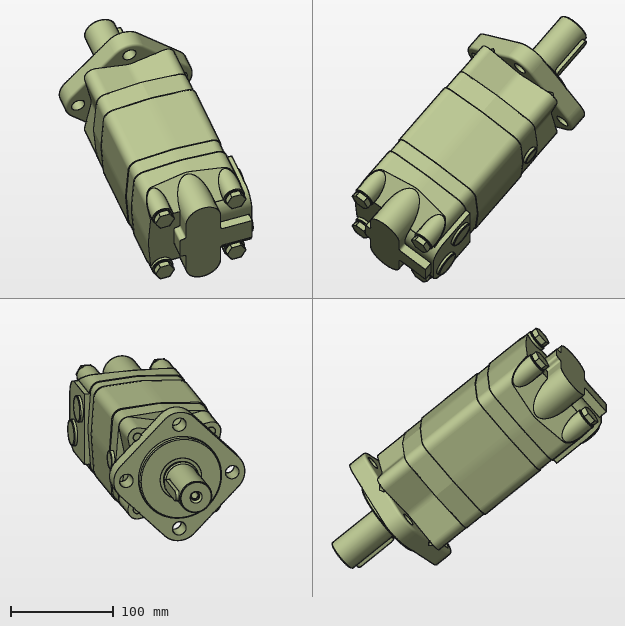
import cadquery as cq
import math


shaft_step_x = 55.5
collar_x = 57.0
pilot_front_x = 59.0
flange_front_x = 65.0
flange_back_x = 84.2
neck_end_x = 119.0
housing_end_x = 142.0
ring_end_x = 211.8
plate_end_x = 227.7
cover_end_x = 276.5
boss_end_x = 279.3
pad_end_x = 284.5
motor_end_x = 293.5

bolt_offset = 37.0
bolt_diameter = 8.5
bolt_tip_x = 85.0
bolt_head_end_x = 286.0
bolt_head_flats = 17.0
washer_face_diameter = 18.0
washer_face_height = 1.2
tapped_bottom_x = 81.3
drill_tip_angle = 118.0
bolt_centres = [(y * bolt_offset, z * bolt_offset) for y in (-1, 1) for z in (-1, 1)]

neck_corner_radius = 9.7
neck_slope = -11.7
neck_valley_radius = 15.0
housing_corner_radius = 10.0
housing_slope = 4.7
body_corner_radius = 11.1
body_slope = 4.0
body_ridge_radius = 69.0
plate_inset = 1.0

flange_span = 131.5
flange_tip_radius = 20.8
flange_edge_radius = 2.5
mounting_hole_diameter = 13.5
mounting_hole_offset = 53.0
pilot_diameter = 82.2
pilot_chamfer = 1.2
seal_recess_diameter = 41.7
seal_recess_depth = 0.3

drain_diameter = 18.0
drain_x = 131.7
drain_top_y = 53.0
drain_chamfer = 0.5

shaft_diameter = 32.0
collar_diameter = 35.0
shaft_chamfer = 1.0
centre_mouth_diameter = 12.0
centre_entry_diameter = 8.5
centre_drill_diameter = 6.7
centre_mouth_angle = 60.0
centre_entry_depth = 6.0
centre_drill_depth = 25.0
key_start_x = 4.5
key_length = 45.2
key_width = 10.0
key_height = 8.0
key_top_y = 19.0

slope_start_x = 244.5
slope_start_z = 50.8
slope_end_z = 33.5
boss_diameter = 21.0
valve_diameter = 35.8
valve_offset_z = 31.7
rib_half_height = 12.0
rib_low_y = -24.4
rib_high_y = 50.5
rib_fillet = 2.5
pad_root_y = 14.7
pad_top_y = 53.5
pad_half_height = 36.0
pad_corner_radius = 18.0
port_diameter = 26.0
port_top_y = 57.0
port_chamfer = 1.0
port_centres = [(244.0, 15.8), (266.7, -15.8)]


def cross_plane(x):
    """Workplane across the motor axis: local x is Y, local y is Z, normal is +X."""
    return cq.Workplane("YZ", origin=(x, 0, 0))


def side_plane(y):
    """Workplane facing +Y: local x is X, local y is -Z."""
    return cq.Workplane("XZ", origin=(0, y, 0)).transformed(rotate=(180, 0, 0))


def rod(diameter, start_x, end_x, centres=((0, 0),)):
    return cross_plane(start_x).pushPoints(centres).circle(diameter / 2).extrude(end_x - start_x)


def drill_tip_length(diameter):
    return diameter / 2 / math.tan(math.radians(drill_tip_angle / 2))


def square_section(start_x, end_x, corner_radius, slope_degrees, middle_radius):
    """Rounded square whose sides rise (positive slope) or sink towards their middle."""
    slope = math.radians(slope_degrees)
    corner_along = bolt_offset + corner_radius * math.sin(slope)
    corner_out = bolt_offset + corner_radius * math.cos(slope)
    middle_along = middle_radius * math.sin(abs(slope))
    middle_out = corner_out + (corner_along - middle_along) * math.tan(slope)
    crest_out = middle_out + math.copysign(middle_radius * (1 - math.cos(slope)), slope)
    corner_mid = bolt_offset + corner_radius * math.sqrt(0.5)

    def on_side(side, along, out):
        """Point on one of the four sides, each a quarter turn after the one before."""
        turn = math.radians(90 * side)
        return (
            out * math.cos(turn) - along * math.sin(turn),
            out * math.sin(turn) + along * math.cos(turn),
        )

    outline = cross_plane(start_x).moveTo(*on_side(0, -corner_along, corner_out))
    for side in range(4):
        outline = outline.lineTo(*on_side(side, -middle_along, middle_out))
        if middle_radius > 0:
            crest = on_side(side, 0, crest_out)
            outline = outline.threePointArc(crest, on_side(side, middle_along, middle_out))
        outline = outline.lineTo(*on_side(side, corner_along, corner_out))
        corner = on_side(side, corner_mid, corner_mid)
        outline = outline.threePointArc(corner, on_side(side + 1, -corner_along, corner_out))
    return outline.close().extrude(end_x - start_x)


def make_flange():
    """Diamond plate with rounded tips, four mounting holes and a rounded back edge."""
    tip_centre = flange_span / 2 - flange_tip_radius
    diamond = (
        cross_plane(flange_front_x)
        .polyline([(tip_centre, 0), (0, tip_centre), (-tip_centre, 0), (0, -tip_centre)])
        .close()
        .offset2D(flange_tip_radius)
        .extrude(flange_back_x - flange_front_x)
    )
    hole_centres = [
        (mounting_hole_offset, 0),
        (0, mounting_hole_offset),
        (-mounting_hole_offset, 0),
        (0, -mounting_hole_offset),
    ]
    holes = rod(mounting_hole_diameter, flange_front_x, flange_back_x, hole_centres)
    return diamond.faces(">X").edges().fillet(flange_edge_radius).cut(holes)


def make_tapped_holes():
    """Corner holes that run forward from the housing rear face to a drill point in the flange."""
    tip_x = tapped_bottom_x - drill_tip_length(bolt_diameter)
    profile = (
        cq.Workplane("XY")
        .polyline(
            [
                (tip_x, 0),
                (tapped_bottom_x, bolt_diameter / 2),
                (housing_end_x, bolt_diameter / 2),
                (housing_end_x, 0),
            ]
        )
        .close()
    )
    hole = profile.revolve(360, (0, 0, 0), (1, 0, 0)).val()
    return [hole.translate(cq.Vector(0, y, z)) for y, z in bolt_centres]


def make_housing(shaft, bolts):
    pilot = rod(pilot_diameter, pilot_front_x, flange_front_x).faces("<X").chamfer(pilot_chamfer)
    neck = square_section(
        flange_back_x, neck_end_x, neck_corner_radius, neck_slope, neck_valley_radius
    )
    block = square_section(neck_end_x, housing_end_x, housing_corner_radius, housing_slope, 0)
    drain = (
        side_plane(bolt_offset)
        .center(drain_x, 0)
        .circle(drain_diameter / 2)
        .extrude(drain_top_y - bolt_offset)
        .faces(">Y")
        .chamfer(drain_chamfer)
    )
    housing = make_flange().union(pilot).union(neck).union(block).union(drain)
    for hole in make_tapped_holes():
        housing = housing.cut(cq.Workplane(hole))
    seal_recess = rod(seal_recess_diameter, pilot_front_x, pilot_front_x + seal_recess_depth)
    housing = housing.cut(seal_recess).cut(shaft)
    return cut_bolts(housing, bolts)


def make_key():
    return (
        side_plane(key_top_y - key_height)
        .center(key_start_x + key_length / 2, 0)
        .slot2D(key_length, key_width)
        .extrude(key_height)
    )


def make_shaft(key):
    """Shaft with a wider collar, a stepped centre hole in its end and a seat for the key."""
    shaft_radius = shaft_diameter / 2
    collar_radius = collar_diameter / 2
    mouth_radius = centre_mouth_diameter / 2
    entry_radius = centre_entry_diameter / 2
    drill_radius = centre_drill_diameter / 2
    mouth_depth = (mouth_radius - entry_radius) / math.tan(math.radians(centre_mouth_angle / 2))
    outline = [
        (centre_drill_depth + drill_tip_length(centre_drill_diameter), 0),
        (centre_drill_depth, drill_radius),
        (centre_entry_depth, drill_radius),
        (centre_entry_depth, entry_radius),
        (mouth_depth, entry_radius),
        (0, mouth_radius),
        (0, shaft_radius - shaft_chamfer),
        (shaft_chamfer, shaft_radius),
        (shaft_step_x, shaft_radius),
        (collar_x, collar_radius),
        (flange_back_x, collar_radius),
        (flange_back_x, 0),
    ]
    shaft = cq.Workplane("XY").polyline(outline).close().revolve(360, (0, 0, 0), (1, 0, 0))
    return shaft.cut(key)


def make_bolt(y, z):
    """Hex bolt along X with two of its flats facing +Z and -Z."""
    head_start_x = boss_end_x + washer_face_height
    hexagon_circle = bolt_head_flats / math.cos(math.radians(30))
    shank = rod(bolt_diameter, bolt_tip_x, boss_end_x, [(y, z)])
    washer_face = rod(washer_face_diameter, boss_end_x, head_start_x, [(y, z)])
    head = (
        cross_plane(head_start_x)
        .center(y, z)
        .polygon(6, hexagon_circle)
        .extrude(bolt_head_end_x - head_start_x)
    )
    return shank.union(washer_face).union(head)


def cut_bolts(body, bolts):
    for bolt in bolts:
        body = body.cut(bolt)
    return body


def make_ring(bolts):
    ring = square_section(
        housing_end_x, ring_end_x, body_corner_radius, body_slope, body_ridge_radius
    )
    return cut_bolts(ring, bolts)


def make_plate(bolts):
    """Spacer plate, set in a little from the sections on both sides of it."""
    plate = square_section(
        ring_end_x,
        plate_end_x,
        body_corner_radius - plate_inset,
        body_slope,
        body_ridge_radius - plate_inset,
    )
    return cut_bolts(plate, bolts)


def make_cover_block():
    """Main block of the cover, sloping down to its rear face on the +Z and -Z sides."""
    block = square_section(
        plate_end_x, cover_end_x, body_corner_radius, body_slope, body_ridge_radius
    )
    silhouette = (
        cq.Workplane("XZ")
        .polyline(
            [
                (plate_end_x, slope_start_z),
                (slope_start_x, slope_start_z),
                (cover_end_x, slope_end_z),
                (cover_end_x, -slope_end_z),
                (slope_start_x, -slope_start_z),
                (plate_end_x, -slope_start_z),
            ]
        )
        .close()
        .extrude(slope_start_z, both=True)
    )
    return block.intersect(silhouette)


def make_valve_housing():
    """Two valve barrels with a flat web between them, crossed by a rib that stands out on both sides."""
    barrel_radius = valve_diameter / 2
    barrel_top_z = valve_offset_z + barrel_radius
    housing = (
        cross_plane(slope_start_x)
        .moveTo(-barrel_radius, valve_offset_z)
        .threePointArc((0, barrel_top_z), (barrel_radius, valve_offset_z))
        .lineTo(barrel_radius, rib_half_height)
        .lineTo(rib_high_y, rib_half_height)
        .lineTo(rib_high_y, -rib_half_height)
        .lineTo(barrel_radius, -rib_half_height)
        .lineTo(barrel_radius, -valve_offset_z)
        .threePointArc((0, -barrel_top_z), (-barrel_radius, -valve_offset_z))
        .lineTo(-barrel_radius, -rib_half_height)
        .lineTo(rib_low_y, -rib_half_height)
        .lineTo(rib_low_y, rib_half_height)
        .lineTo(-barrel_radius, rib_half_height)
        .close()
        .extrude(motor_end_x - slope_start_x)
    )
    rounded_corners = cq.selectors.BoxSelector(
        (slope_start_x, rib_low_y - rib_fillet, -rib_half_height - rib_fillet),
        (motor_end_x, barrel_radius + rib_fillet, rib_half_height + rib_fillet),
    )
    return housing.edges("|X").edges(rounded_corners).fillet(rib_fillet)


def make_port_pad():
    """Flat pad on the +Y side with two staggered port faces."""
    pad = (
        side_plane(pad_root_y)
        .center((plate_end_x + pad_end_x) / 2, 0)
        .rect(pad_end_x - plate_end_x, 2 * pad_half_height)
        .extrude(pad_top_y - pad_root_y)
        .edges("|Y and >X")
        .fillet(pad_corner_radius)
    )
    for x, z in port_centres:
        port = (
            side_plane(pad_top_y)
            .center(x, -z)
            .circle(port_diameter / 2)
            .extrude(port_top_y - pad_top_y)
            .faces(">Y")
            .chamfer(port_chamfer)
        )
        pad = pad.union(port)
    return pad


def make_cover(bolts):
    bosses = rod(boss_diameter, plate_end_x, boss_end_x, bolt_centres)
    cover = make_cover_block().union(bosses).union(make_valve_housing()).union(make_port_pad())
    return cut_bolts(cover, bolts)


key = make_key()
shaft = make_shaft(key)
bolts = [make_bolt(y, z) for y, z in bolt_centres]
housing = make_housing(shaft, bolts)
ring = make_ring(bolts)
plate = make_plate(bolts)
cover = make_cover(bolts)

result = cq.Compound.makeCompound(
    [
        housing.val(),
        shaft.val(),
        key.val(),
        ring.val(),
        plate.val(),
        cover.val(),
        *[bolt.val() for bolt in bolts],
    ]
)